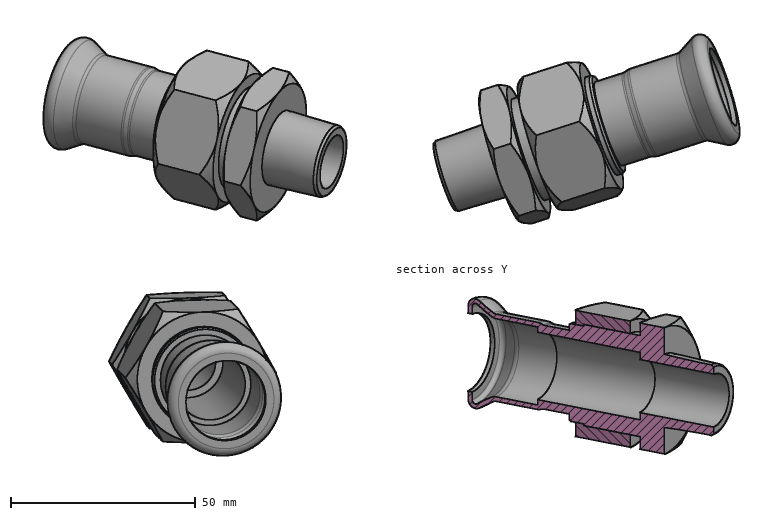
import cadquery as cq
import math

length = 80.0
pipe_step_start = 22.6
collar_start = 32.9
nut_start = 35.0
shoulder_start = 37.6
nut_end = 52.9
hexagon_start = 55.9
hexagon_end = 64.0

wall = 1.4
socket_radius = 25.0 / 2
pipe_radius = 24.0 / 2
socket_bore_radius = socket_radius - wall
bead_radius = 2.5
bead_slope = math.radians(30)
bead_end = 9.2
bead_blend_radius = 1.9

step_slope = math.radians(15)
step_blend_radius = 2.1

collar_radius = 28.0 / 2
collar_chamfer_length = 0.7
collar_chamfer_depth = 0.4
shoulder_radius = 29.0 / 2
thread_root_radius = 10.5
thread_tip_radius = 10.1
tip_chamfer_length = 0.8
tip_chamfer_depth = 0.5

pipe_bore_radius = 9.5
through_bore_radius = 15.0 / 2

across_flats = 36.0
corner_radius = across_flats / math.sqrt(3)
nut_chamfer_length = corner_radius - across_flats / 2
hexagon_chamfer_slope = math.radians(30)
hexagon_chamfer_length = nut_chamfer_length * math.tan(hexagon_chamfer_slope)

cone_end = bead_end - bead_blend_radius * math.sin(bead_slope)
cone_end_radius = socket_radius + bead_blend_radius * (1 - math.cos(bead_slope))
cone_start = bead_radius * (1 + math.sin(bead_slope))
cone_start_radius = cone_end_radius + (cone_end - cone_start) * math.tan(bead_slope)
roll_center_radius = cone_start_radius - bead_radius * math.cos(bead_slope)


def polar(center, radius, angle):
    """Point in the axial plane at an angle measured from the axis direction."""
    return (center[0] + radius * math.cos(angle), center[1] + radius * math.sin(angle))


def arc_points(center, radius, start_angle, end_angle):
    """Middle and end points of an arc."""
    middle = polar(center, radius, (start_angle + end_angle) / 2)
    return middle, polar(center, radius, end_angle)


def add_bead(profile, inset):
    """Continue a profile from the mouth, around the bead, to the socket, inset by a wall thickness."""
    roll_center = (bead_radius, roll_center_radius)
    blend_center = (bead_end, socket_radius + bead_blend_radius)
    roll_radius = bead_radius - inset
    blend_radius = bead_blend_radius + inset
    tangent_angle = math.pi / 2 - bead_slope
    blend_start_angle = -math.pi / 2 - bead_slope
    return (
        profile.lineTo(bead_radius - roll_radius, roll_center_radius)
        .threePointArc(*arc_points(roll_center, roll_radius, math.pi, tangent_angle))
        .lineTo(*polar(blend_center, blend_radius, blend_start_angle))
        .threePointArc(*arc_points(blend_center, blend_radius, blend_start_angle, -math.pi / 2))
    )


def add_pipe_step(profile):
    """Continue a profile along the socket and down the blended step to the pipe."""
    blend_length = step_blend_radius * math.sin(step_slope)
    blend_drop = step_blend_radius * (1 - math.cos(step_slope))
    cone_drop = socket_radius - pipe_radius - 2 * blend_drop
    cone_length = cone_drop / math.tan(step_slope)
    pipe_start = pipe_step_start + 2 * blend_length + cone_length
    return (
        profile.lineTo(pipe_step_start, socket_radius)
        .tangentArcPoint((pipe_step_start + blend_length, socket_radius - blend_drop), relative=False)
        .lineTo(pipe_start - blend_length, pipe_radius + blend_drop)
        .tangentArcPoint((pipe_start, pipe_radius), relative=False)
    )


def revolve_about_axis(profile):
    return profile.close().revolve(360, (0, 0, 0), (1, 0, 0))


def make_outer_shape():
    """Turned outside of the fitting, without its hexagon."""
    profile = add_pipe_step(add_bead(cq.Workplane("XY"), 0))
    profile = (
        profile.lineTo(collar_start, pipe_radius)
        .lineTo(collar_start, collar_radius - collar_chamfer_depth)
        .lineTo(collar_start + collar_chamfer_length, collar_radius)
        .lineTo(shoulder_start, collar_radius)
        .lineTo(shoulder_start, shoulder_radius)
        .lineTo(hexagon_end, shoulder_radius)
        .lineTo(hexagon_end, thread_root_radius)
        .lineTo(length - tip_chamfer_length, thread_tip_radius)
        .lineTo(length, thread_tip_radius - tip_chamfer_depth)
        .lineTo(length, 0)
    )
    return revolve_about_axis(profile)


def make_bore():
    """Stepped bore, including the seal groove inside the bead."""
    profile = (
        cq.Workplane("XY")
        .lineTo(0, socket_bore_radius)
        .lineTo(wall, socket_bore_radius)
    )
    profile = (
        add_bead(profile, wall)
        .lineTo(pipe_step_start, socket_bore_radius)
        .lineTo(pipe_step_start, pipe_bore_radius)
        .lineTo(hexagon_start, pipe_bore_radius)
        .lineTo(hexagon_start, through_bore_radius)
        .lineTo(length, through_bore_radius)
        .lineTo(length, 0)
    )
    return revolve_about_axis(profile)


def make_hexagon(start, end, chamfer_length):
    """Hexagonal prism along X with conically chamfered corners at both ends."""
    prism = (
        cq.Workplane("YZ", origin=(start, 0, 0))
        .polygon(6, 2 * corner_radius)
        .extrude(end - start)
    )
    envelope = (
        cq.Workplane("XY")
        .moveTo(start, 0)
        .lineTo(start, across_flats / 2)
        .lineTo(start + chamfer_length, corner_radius)
        .lineTo(end - chamfer_length, corner_radius)
        .lineTo(end, across_flats / 2)
        .lineTo(end, 0)
    )
    return prism.intersect(revolve_about_axis(envelope))


def make_fitting():
    """Press socket, collar, fixed hexagon and tapered thread in one piece."""
    hexagon = make_hexagon(hexagon_start, hexagon_end, hexagon_chamfer_length)
    return make_outer_shape().union(hexagon).cut(make_bore())


def make_nut():
    """Union nut, bored to match the collar and the shoulder of the fitting."""
    hexagon = make_hexagon(nut_start, nut_end, nut_chamfer_length)
    collar_hole = (
        cq.Workplane("YZ", origin=(nut_start, 0, 0))
        .circle(collar_radius)
        .extrude(nut_end - nut_start)
    )
    shoulder_hole = (
        cq.Workplane("YZ", origin=(shoulder_start, 0, 0))
        .circle(shoulder_radius)
        .extrude(nut_end - shoulder_start)
    )
    return hexagon.cut(collar_hole).cut(shoulder_hole)


fitting = make_fitting()
nut = make_nut()
result = cq.Compound.makeCompound([fitting.solids().val(), nut.solids().val()])